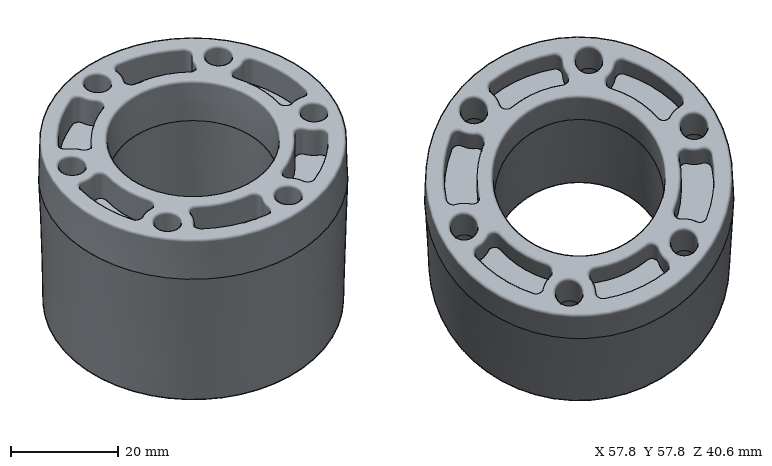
import cadquery as cq
import math

HEIGHT = 40.6
CAP_HEIGHT = 9.6
BASE_HEIGHT = HEIGHT - CAP_HEIGHT
JOINT_RADIUS = 28.9
BORE_RADIUS = 15.85
DRAFT_ANGLE = 1.5
EDGE_ROUND = 0.6

HOLE_COUNT = 6
FIRST_HOLE_ANGLE = 90
HOLE_RADIUS = 2.55
HOLE_CIRCLE_RADIUS = 23.8

POCKET_INNER_RADIUS = 19.05
POCKET_OUTER_RADIUS = 25.2
POCKET_DEPTH = 6.55
POCKET_CORNER_RADIUS = 1.35
BOSS_RADIUS = 4.95

DRAFT_SLOPE = math.tan(math.radians(DRAFT_ANGLE))


def drafted_ring(end_z):
    """Ring from the joint plane to end_z, its outer wall and bore both drafted."""
    draft = abs(end_z - BASE_HEIGHT) * DRAFT_SLOPE
    return (
        cq.Workplane("XZ")
        .moveTo(BORE_RADIUS, BASE_HEIGHT)
        .lineTo(JOINT_RADIUS, BASE_HEIGHT)
        .lineTo(JOINT_RADIUS - draft, end_z)
        .lineTo(BORE_RADIUS + draft, end_z)
        .close()
        .revolve(360, (0, 0, 0), (0, 1, 0))
    )


def hole_pattern(plane_z, radius, depth):
    """Upright cylinders on the bolt circle, one of them on the +Y axis."""
    return (
        cq.Workplane("XY", origin=(0, 0, plane_z))
        .polarArray(HOLE_CIRCLE_RADIUS, FIRST_HOLE_ANGLE, 360, HOLE_COUNT)
        .circle(radius)
        .extrude(depth)
    )


def pockets():
    """Ring-shaped channel interrupted by a boss around each bolt hole."""
    floor_z = HEIGHT - POCKET_DEPTH
    channel = (
        cq.Workplane("XY", origin=(0, 0, floor_z))
        .circle(POCKET_OUTER_RADIUS)
        .circle(POCKET_INNER_RADIUS)
        .extrude(POCKET_DEPTH)
    )
    bosses = hole_pattern(floor_z, BOSS_RADIUS, POCKET_DEPTH)
    return channel.cut(bosses).edges("|Z").fillet(POCKET_CORNER_RADIUS)


def make_base():
    base = drafted_ring(0)
    base = base.faces("<Z").edges(cq.selectors.RadiusNthSelector(-1)).fillet(EDGE_ROUND)
    return base.cut(hole_pattern(0, HOLE_RADIUS, BASE_HEIGHT))


def make_cap():
    cap = drafted_ring(HEIGHT)
    cap = cap.cut(hole_pattern(BASE_HEIGHT, HOLE_RADIUS, CAP_HEIGHT))
    cap = cap.cut(pockets())
    return cap.faces(">Z").edges().fillet(EDGE_ROUND)


base = make_base()
cap = make_cap()

result = cq.Compound.makeCompound([base.val(), cap.val()])